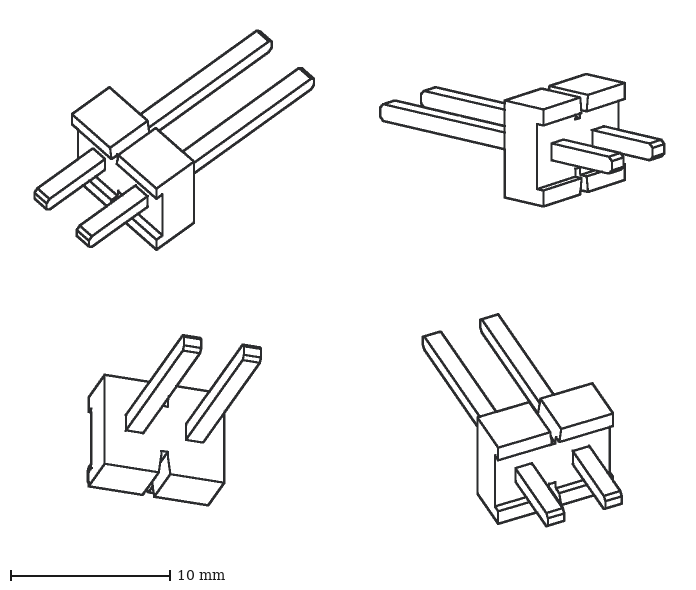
import cadquery as cq

total_length = 19.05
pin_rear_y = total_length / 2
pin_count = 2
pitch = 3.96

housing_width = pin_count * pitch
housing_height = 6.35
housing_depth = 3.18
rear_pin_projection = 11.43
housing_rear_y = pin_rear_y - rear_pin_projection
housing_front_y = housing_rear_y - housing_depth
lip_height = 1.05
recess_depth = 0.51

notch_depth = 1.56
notch_mouth_width = 0.76
notch_floor_width = 0.44
notch_straight_height = 0.32

pin_width = 1.15
pin_height = 1.1
pin_tip_chamfer = 0.25
fixed_pin_x = -pitch / 2
inserted_pin_x = pitch / 2


def make_pin(center_x):
    """A rectangular pin with its top and bottom edges bevelled at both ends."""
    return (
        cq.Workplane("XY")
        .box(pin_width, total_length, pin_height)
        .faces("<Y or >Y")
        .edges("|X")
        .chamfer(pin_tip_chamfer)
        .translate((center_x, 0, 0))
    )


def make_notch(side):
    """A tapered groove along Y; side is 1 for the top and -1 for the bottom."""
    mouth_z = side * housing_height / 2
    floor_z = side * (housing_height / 2 - notch_depth)
    taper_end_z = floor_z + side * notch_straight_height
    return (
        cq.Workplane("XZ", origin=(0, housing_rear_y, 0))
        .moveTo(-notch_mouth_width / 2, mouth_z)
        .lineTo(-notch_floor_width / 2, taper_end_z)
        .lineTo(-notch_floor_width / 2, floor_z)
        .lineTo(notch_floor_width / 2, floor_z)
        .lineTo(notch_floor_width / 2, taper_end_z)
        .lineTo(notch_mouth_width / 2, mouth_z)
        .close()
        .extrude(housing_depth)
    )


def make_housing():
    """A notched block with a front recess, one integral pin and one pin hole."""
    block = cq.Workplane("XY").box(housing_width, housing_depth, housing_height)
    block = block.translate((0, (housing_front_y + housing_rear_y) / 2, 0))

    recess = cq.Workplane("XY").box(housing_width, recess_depth, housing_height - 2 * lip_height)
    block = block.cut(recess.translate((0, housing_front_y + recess_depth / 2, 0)))

    for side in (1, -1):
        block = block.cut(make_notch(side))

    block = block.union(make_pin(fixed_pin_x))
    return block.cut(make_pin(inserted_pin_x))


housing = make_housing()
inserted_pin = make_pin(inserted_pin_x)

result = cq.Compound.makeCompound([housing.val(), inserted_pin.val()])